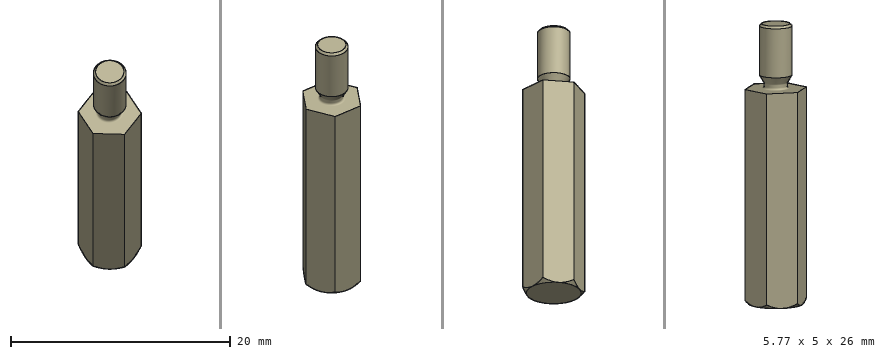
import cadquery as cq
import math

total_length = 26.0
stud_length = 6.0
across_flats = 5.0
hex_chamfer = 0.4
stud_diameter = 3.0
tip_chamfer = 0.2
neck_diameter = 2.13
neck_fillet = 0.2
runout_top = 1.25
runout_angle = 30.0

body_length = total_length - stud_length
corner_radius = across_flats / math.sqrt(3)
stud_radius = stud_diameter / 2
neck_radius = neck_diameter / 2
runout_height = (stud_radius - neck_radius) / math.tan(math.radians(runout_angle))


def make_body():
    """Hexagonal body, corners along X, with a turned chamfer on the lower end."""
    prism = cq.Workplane("XY").polygon(6, 2 * corner_radius).extrude(body_length)
    turned_blank = (
        cq.Workplane("XY")
        .circle(corner_radius)
        .extrude(body_length)
        .faces("<Z")
        .chamfer(hex_chamfer)
    )
    return prism.intersect(turned_blank)


def make_stud():
    """Revolved stud: neck filleted at both ends, conical runout and chamfered tip."""
    neck_bottom = body_length + neck_fillet
    neck_corner = body_length + runout_top - runout_height
    fillet_center_x = neck_radius + neck_fillet
    runout_slope = math.radians(runout_angle)
    upper_center_z = neck_corner - neck_fillet * math.tan(runout_slope / 2)

    def fillet_point(center_z, angle):
        """Point on a neck fillet, turned by an angle from where it meets the neck."""
        return (
            fillet_center_x - neck_fillet * math.cos(angle),
            center_z + neck_fillet * math.sin(angle),
        )

    return (
        cq.Workplane("XZ")
        .moveTo(0, body_length)
        .lineTo(fillet_center_x, body_length)
        .threePointArc(fillet_point(neck_bottom, -math.pi / 4), fillet_point(neck_bottom, 0))
        .lineTo(neck_radius, upper_center_z)
        .threePointArc(
            fillet_point(upper_center_z, runout_slope / 2),
            fillet_point(upper_center_z, runout_slope),
        )
        .lineTo(stud_radius, body_length + runout_top)
        .lineTo(stud_radius, total_length - tip_chamfer)
        .lineTo(stud_radius - tip_chamfer, total_length)
        .lineTo(0, total_length)
        .close()
        .revolve(360, (0, 0, 0), (0, 1, 0))
    )


result = make_body().union(make_stud())